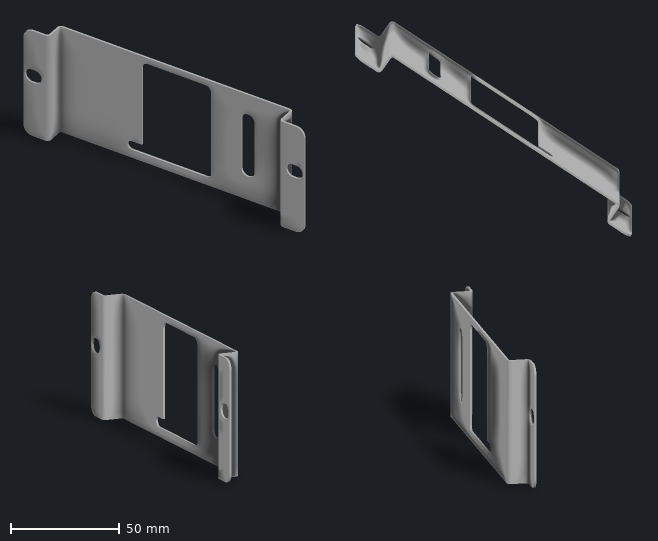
import cadquery as cq

length = 154.0
depth = 11.0
height = 59.0
thickness = 1.0
inner_bend_radius = 1.0
outer_bend_radius = inner_bend_radius + thickness

ear_length = 13.9
ear_corner_radius = 5.0
ear_hole_length = 9.0
ear_hole_height = 7.1
ear_hole_inset = 5.4
ear_hole_z = 4.2

window_left = -18.5
window_right = 19.5
window_top_margin = 3.2
window_bottom_margin = 4.5
window_upper_radius = 3.5
window_lower_radius = 2.5
notch_left = -26.3
notch_height = 4.8

slot_x = 39.7
slot_z = 1.0
slot_length = 35.0
slot_width = 7.1

half_length = length / 2
half_height = height / 2
front_y = -depth / 2
back_y = depth / 2


def box_between(x_min, x_max, y_min, y_max):
    """Full-height block between the given X and Y limits."""
    return (
        cq.Workplane("XY")
        .box(x_max - x_min, y_max - y_min, height)
        .translate(((x_min + x_max) / 2, (y_min + y_max) / 2, 0))
    )


def round_upright_edge(body, x, y, radius):
    """Round the upright edge that passes through (x, y)."""
    return body.edges(cq.selectors.NearestToPointSelector((x, y, 0))).fillet(radius)


def bent_sheet():
    """Hat-shaped sheet: raised panel, two walls and two ears, with round bends."""
    wall_inner_x = half_length - ear_length
    wall_outer_x = wall_inner_x + thickness
    panel_y = back_y - thickness
    ear_y = front_y + thickness

    sheet = box_between(-wall_outer_x, wall_outer_x, panel_y, back_y)
    for side in (-1, 1):
        wall_limits = sorted((side * wall_inner_x, side * wall_outer_x))
        ear_limits = sorted((side * wall_inner_x, side * half_length))
        sheet = sheet.union(box_between(*wall_limits, front_y, back_y))
        sheet = sheet.union(box_between(*ear_limits, front_y, ear_y))

    for side in (-1, 1):
        sheet = round_upright_edge(sheet, side * wall_inner_x, panel_y, inner_bend_radius)
        sheet = round_upright_edge(sheet, side * wall_outer_x, back_y, outer_bend_radius)
        sheet = round_upright_edge(sheet, side * wall_outer_x, ear_y, inner_bend_radius)
        sheet = round_upright_edge(sheet, side * wall_inner_x, front_y, outer_bend_radius)
    return sheet


def through_cutter(sketch):
    """Extrude an XZ outline through the whole depth of the part."""
    return sketch.extrude(depth, both=True)


def slot_cutter(x, z, slot_size, width, angle):
    outline = cq.Workplane("XZ").center(x, z).slot2D(slot_size, width, angle)
    return through_cutter(outline)


def window_cutter():
    bottom = -half_height + window_bottom_margin
    top = half_height - window_top_margin
    center_x = (window_left + window_right) / 2
    opening = through_cutter(
        cq.Workplane("XZ")
        .center(center_x, (bottom + top) / 2)
        .rect(window_right - window_left, top - bottom)
    )
    opening = opening.edges("|Y and >Z").fillet(window_upper_radius)
    opening = opening.edges("|Y and <Z and >X").fillet(window_lower_radius)

    notch_length = center_x - notch_left
    notch_x = notch_left + notch_length / 2
    notch_z = bottom + notch_height / 2
    return opening.union(slot_cutter(notch_x, notch_z, notch_length, notch_height, 0))


result = bent_sheet()
result = result.edges("|Y and (<X or >X)").fillet(ear_corner_radius)
result = result.cut(window_cutter())
result = result.cut(slot_cutter(slot_x, slot_z, slot_length, slot_width, 90))
for ear_side in (-1, 1):
    ear_hole_x = ear_side * (half_length - ear_hole_inset)
    result = result.cut(slot_cutter(ear_hole_x, ear_hole_z, ear_hole_length, ear_hole_height, 0))